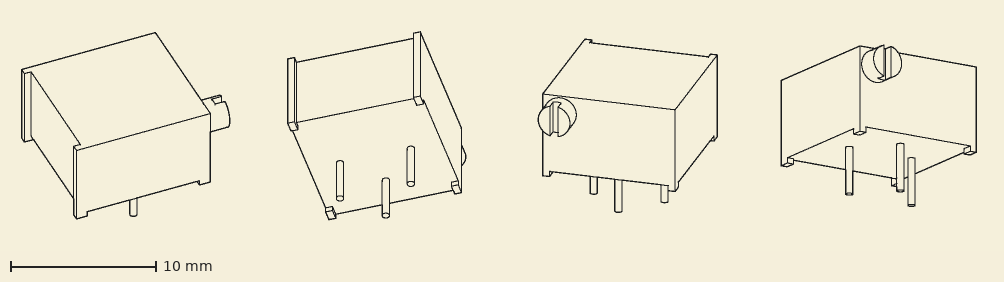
import cadquery as cq

width = 9.53
total_depth = 11.56
total_height = 9.1
housing_depth = 10.03
housing_height = 6.13
wall = 0.5
foot_height = 0.38
foot_length = 0.82

screw_diameter = 2.29
screw_length = total_depth - housing_depth
screw_x = 3.48
screw_below_top = 1.27
slot_width = 0.58
slot_depth = 0.75

pin_diameter = 0.51
pin_pitch = 2.54
pin_row_y = -4.81
middle_pin_y = pin_row_y + pin_pitch
pin_bottom = housing_height - total_height


def box(x_size, y_size, z_size, x_center, y_back, z_bottom):
    """Box placed by its middle in X, its back face and its underside."""
    block = cq.Workplane("XY").box(x_size, y_size, z_size, centered=(True, False, False))
    return block.translate((x_center, y_back - y_size, z_bottom))


def make_housing():
    """Central block between side walls that stand proud in front and on feet."""
    wall_height = housing_height - foot_height
    housing = box(width, housing_depth - wall, wall_height, 0, 0, foot_height)
    front_foot_back = foot_length - housing_depth
    for side in (-1, 1):
        wall_x = side * (width - wall) / 2
        housing = housing.union(box(wall, housing_depth, wall_height, wall_x, 0, foot_height))
        for foot_back in (0, front_foot_back):
            housing = housing.union(box(wall, foot_length, housing_height, wall_x, foot_back, 0))
    return housing


def make_screw():
    """Cylindrical head on the back face with a vertical driver slot."""
    screw_z = housing_height - screw_below_top
    head = (
        cq.Workplane("XZ", origin=(screw_x, 0, screw_z))
        .circle(screw_diameter / 2)
        .extrude(-screw_length)
    )
    slot_bottom = screw_z - screw_diameter / 2
    slot = box(slot_width, slot_depth, screw_diameter, screw_x, screw_length, slot_bottom)
    return head.cut(slot)


def make_pins():
    """Three round pins, the middle one set back by one pitch."""
    positions = [(-pin_pitch, pin_row_y), (0, middle_pin_y), (pin_pitch, pin_row_y)]
    return (
        cq.Workplane("XY", origin=(0, 0, pin_bottom))
        .pushPoints(positions)
        .circle(pin_diameter / 2)
        .extrude(foot_height - pin_bottom)
    )


result = make_housing().union(make_screw()).union(make_pins())